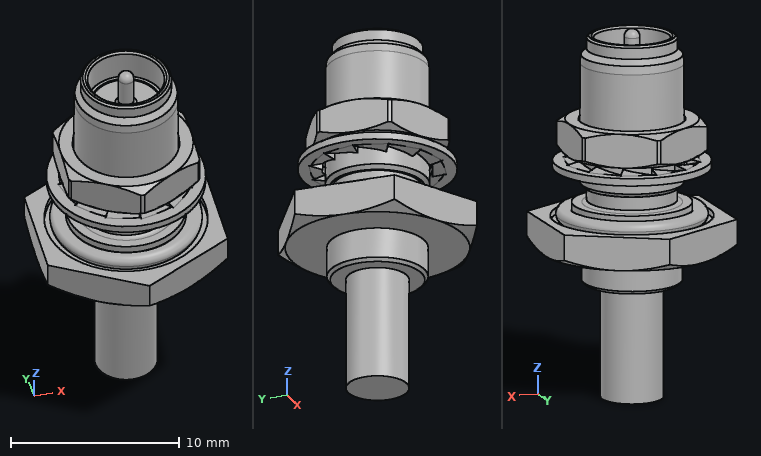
import cadquery as cq
import math


HEX_SIDES = 6
HEX_CORNER_RATIO = 1 / math.cos(math.pi / HEX_SIDES)
HEX_CHAMFER_SLOPE = math.tan(math.radians(30))

tube_radius = 1.89
tube_length = 7.0
collar_radius = 3.02
collar_height = 2.08
collar_chamfer = 0.2

flange_flats = 11.0
flange_thickness = 2.05
flange_bottom = tube_length + collar_height
flange_top = flange_bottom + flange_thickness
boss_radius = 3.6
boss_top = flange_top + 0.84
groove_radius = 4.87

seal_section_radius = 0.5
seal_squeeze = 0.06
seal_path_radius = boss_radius + seal_section_radius - seal_squeeze
seal_center_z = flange_top + 0.11
groove_floor = seal_center_z - seal_section_radius

neck_radius = 2.71
neck_fillet_width = 0.29
neck_fillet_height = 0.13
barrel_radius = 3.11
barrel_bottom = 12.94
barrel_bottom_chamfer = 0.25
barrel_taper_bottom = 20.52
barrel_taper_top = 21.02
barrel_taper = 0.06
barrel_top = 21.37

rim_top = 22.17
rim_chamfer = 0.13
socket_radius = 2.29
socket_floor = 20.3
recess_radius = 2.07
recess_depth = 0.1

pin_radius = 0.47
pin_tip = 22.57
pin_base_radius = 0.65
pin_base_height = pin_base_radius - pin_radius

nut_flats = 8.0
nut_corner_radius = 4.55
nut_bore_radius = 3.19
nut_bottom = 15.0
nut_thickness = 2.07

washer_radius = 4.75
washer_thickness = 0.45
washer_bottom = 14.1
washer_bore_radius = 3.3
tooth_root_radius = 4.0
tooth_count = 12
tooth_rise = 0.2


def hex_prism(flats, bottom, height):
    """Hexagonal prism with corners on the Y axis."""
    corner_diameter = flats * HEX_CORNER_RATIO
    return (
        cq.Workplane("XY", origin=(0, 0, bottom))
        .polygon(HEX_SIDES, corner_diameter)
        .extrude(height)
        .rotate((0, 0, 0), (0, 0, 1), 90)
    )


def disc(radius, bottom, top):
    return cq.Workplane("XY", origin=(0, 0, bottom)).circle(radius).extrude(top - bottom)


def revolve_about_z(profile):
    return profile.close().revolve(360, (0, 0, 0), (0, 1, 0))


def make_flange():
    flat_radius = flange_flats / 2
    corner_radius = flat_radius * HEX_CORNER_RATIO
    chamfer_height = (corner_radius - flat_radius) * HEX_CHAMFER_SLOPE
    envelope = revolve_about_z(
        cq.Workplane("XZ")
        .moveTo(0, flange_bottom)
        .lineTo(flat_radius, flange_bottom)
        .lineTo(corner_radius, flange_bottom + chamfer_height)
        .lineTo(corner_radius, flange_top)
        .lineTo(0, flange_top)
    )
    flange = hex_prism(flange_flats, flange_bottom, flange_thickness).intersect(envelope)
    return flange.cut(disc(groove_radius, groove_floor, flange_top))


def make_shell():
    """Everything turned about the axis, except the hex flange, the seal ring and the pin."""
    recess_floor = socket_floor - recess_depth
    chamfer_start = collar_radius - collar_chamfer
    return revolve_about_z(
        cq.Workplane("XZ")
        .moveTo(0, 0)
        .lineTo(tube_radius, 0)
        .lineTo(tube_radius, tube_length)
        .lineTo(chamfer_start, tube_length)
        .lineTo(collar_radius, tube_length + collar_chamfer)
        .lineTo(collar_radius, flange_bottom)
        .lineTo(boss_radius, flange_bottom)
        .lineTo(boss_radius, boss_top)
        .lineTo(neck_radius + neck_fillet_width, boss_top)
        .tangentArcPoint((neck_radius, boss_top + neck_fillet_height), relative=False)
        .lineTo(neck_radius, barrel_bottom)
        .lineTo(barrel_radius - barrel_bottom_chamfer, barrel_bottom)
        .lineTo(barrel_radius, barrel_bottom + barrel_bottom_chamfer)
        .lineTo(barrel_radius, barrel_taper_bottom)
        .lineTo(barrel_radius - barrel_taper, barrel_taper_top)
        .lineTo(neck_radius, barrel_top)
        .lineTo(neck_radius, rim_top - rim_chamfer)
        .lineTo(neck_radius - rim_chamfer, rim_top)
        .lineTo(socket_radius + rim_chamfer, rim_top)
        .lineTo(socket_radius, rim_top - rim_chamfer)
        .lineTo(socket_radius, socket_floor)
        .lineTo(recess_radius, socket_floor)
        .lineTo(recess_radius, recess_floor)
        .lineTo(0, recess_floor)
    )


def make_seal_ring():
    section = cq.Workplane("XZ").center(seal_path_radius, seal_center_z).circle(seal_section_radius)
    return section.revolve(360, (-seal_path_radius, 0, 0), (-seal_path_radius, 1, 0))


def make_pin():
    bottom = socket_floor - recess_depth
    dome_start = pin_tip - pin_radius
    return revolve_about_z(
        cq.Workplane("XZ")
        .moveTo(0, bottom)
        .lineTo(pin_base_radius, bottom)
        .lineTo(pin_radius, bottom + pin_base_height)
        .lineTo(pin_radius, dome_start)
        .radiusArc((0, pin_tip), -pin_radius)
    )


def make_connector():
    return make_shell().union(make_flange()).union(make_seal_ring()).union(make_pin())


def make_nut():
    """Hex nut, chamfered on both faces, with its corners turned down to a cylinder."""
    flat_radius = nut_flats / 2
    nut_top = nut_bottom + nut_thickness
    chamfer_height = (nut_corner_radius - flat_radius) * HEX_CHAMFER_SLOPE
    envelope = revolve_about_z(
        cq.Workplane("XZ")
        .moveTo(nut_bore_radius, nut_bottom)
        .lineTo(flat_radius, nut_bottom)
        .lineTo(nut_corner_radius, nut_bottom + chamfer_height)
        .lineTo(nut_corner_radius, nut_top - chamfer_height)
        .lineTo(flat_radius, nut_top)
        .lineTo(nut_bore_radius, nut_top)
    )
    return hex_prism(nut_flats, nut_bottom, nut_thickness).intersect(envelope)


def make_tooth():
    """Tooth pointing along +X, level at its root and twisted more and more towards the bore."""
    half_angle = math.pi / tooth_count
    tip_distance = washer_bore_radius * math.cos(half_angle)

    def section(distance, rise):
        half_width = distance * math.tan(half_angle)
        half_thickness = washer_thickness / 2
        corners = [
            (distance, -half_width, -half_thickness - rise),
            (distance, half_width, -half_thickness + rise),
            (distance, half_width, half_thickness + rise),
            (distance, -half_width, half_thickness - rise),
        ]
        return cq.Wire.makePolygon([cq.Vector(*corner) for corner in corners], close=True)

    tooth = cq.Solid.makeLoft([section(tooth_root_radius, 0), section(tip_distance, -tooth_rise)], True)
    mid_height = washer_bottom + washer_thickness / 2
    return cq.Workplane(tooth.translate(cq.Vector(0, 0, mid_height)))


def make_washer():
    pitch = 360 / tooth_count
    washer_top = washer_bottom + washer_thickness
    washer = disc(washer_radius, washer_bottom, washer_top)
    washer = washer.cut(disc(tooth_root_radius, washer_bottom, washer_top))
    tooth = make_tooth()
    for index in range(tooth_count):
        angle = (index + 0.5) * pitch
        washer = washer.union(tooth.rotate((0, 0, 0), (0, 0, 1), angle))
    bore = disc(washer_bore_radius, washer_bottom - tooth_rise, washer_top + tooth_rise)
    return washer.cut(bore)


connector = make_connector()
washer = make_washer()
nut = make_nut()

result = cq.Compound.makeCompound([body.solids().val() for body in (connector, washer, nut)])